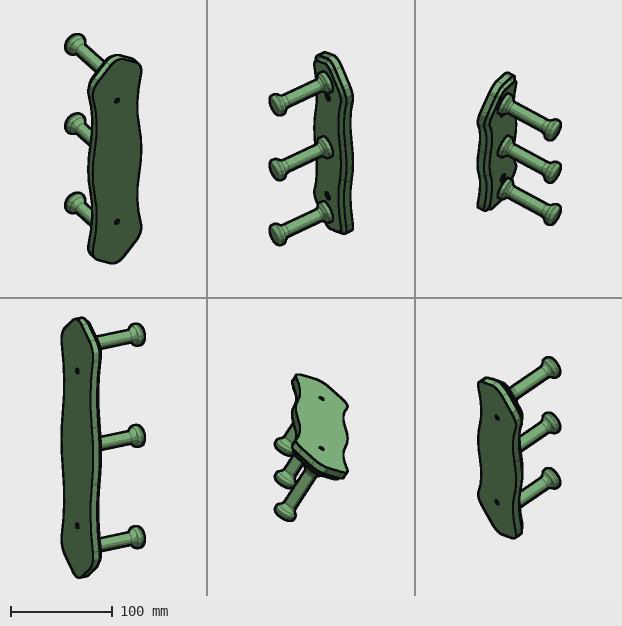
import cadquery as cq
import math


overall_depth = 74.0
board_length = 270.0

slab_thickness = 7.5
panel_height = 4.0
panel_inset = 4.0
cove_radius = 3.0
board_thickness = slab_thickness + panel_height
half_width = 30.0
waist_half_width = 25.0
side_radius = 180.0
waist_z = math.sqrt((2 * side_radius) ** 2 - (2 * side_radius - half_width + waist_half_width) ** 2)
shoulder_radius = 20.0
tip_radius = 12.5

screw_spacing = 162.0
screw_diameter = 4.5
screw_head_diameter = 8.0
countersink_angle = 90.0

peg_pitch = 106.0
peg_length = overall_depth - board_thickness
shaft_radius = 6.5
flange_radius = 11.0
knob_edge_radius = 4.0
knob_rim_start = 5.0
knob_rim_width = 1.5
knob_neck_radius = 7.0
base_height = 4.3
base_cone_angle = math.radians(50)
base_edge_radius = 1.0
base_blend_radius = 3.5


def point_on_circle(centre, radius, angle):
    """Point at an angle measured from the first axis towards the second."""
    return (centre[0] + radius * math.cos(angle), centre[1] + radius * math.sin(angle))


def quarter_edge():
    """Edge of the board from the middle of the +Y side up to the tip, at its back."""
    bulge_centre = (half_width - side_radius, 0)
    waist_centre = (waist_half_width + side_radius, waist_z)
    shoulder_y = half_width - shoulder_radius
    waist_to_shoulder = side_radius + shoulder_radius
    shoulder_rise = math.sqrt(waist_to_shoulder**2 - (waist_centre[0] - shoulder_y) ** 2)
    shoulder_centre = (shoulder_y, waist_z + shoulder_rise)
    tip_centre = (0, board_length / 2 - tip_radius)

    bulge_angle = math.asin(waist_z / (2 * side_radius))
    shoulder_angle = -math.asin(shoulder_rise / waist_to_shoulder)

    dy = shoulder_centre[0] - tip_centre[0]
    dz = shoulder_centre[1] - tip_centre[1]
    radius_step = tip_radius - shoulder_radius
    edge_angle = math.atan2(dz, dy) + math.acos(radius_step / math.hypot(dy, dz))

    bulge_middle = point_on_circle(bulge_centre, side_radius, bulge_angle / 2)
    bulge_end = point_on_circle(bulge_centre, side_radius, bulge_angle)
    waist_middle = (waist_half_width, waist_z)
    waist_end = point_on_circle(shoulder_centre, shoulder_radius, shoulder_angle)
    shoulder_middle = (half_width, shoulder_centre[1])
    shoulder_end = point_on_circle(shoulder_centre, shoulder_radius, edge_angle)
    tip_start = point_on_circle(tip_centre, tip_radius, edge_angle)
    tip_middle = point_on_circle(tip_centre, tip_radius, (edge_angle + math.pi / 2) / 2)

    return (
        cq.Workplane("YZ")
        .moveTo(half_width, 0)
        .threePointArc(bulge_middle, bulge_end)
        .threePointArc(waist_middle, waist_end)
        .threePointArc(shoulder_middle, shoulder_end)
        .lineTo(*tip_start)
        .threePointArc(tip_middle, (0, board_length / 2))
    )


def make_board():
    quarter = quarter_edge().lineTo(0, 0).close().extrude(-slab_thickness)
    half = quarter.union(quarter.mirror("XZ"))
    slab = half.union(half.mirror("XY")).clean()

    panel = slab.faces("<X").wires().toPending().offset2D(-panel_inset).extrude(-panel_height)
    board = slab.union(panel)
    shoulder = board.faces("|X").faces("<X[1]").val()
    board = board.newObject(shoulder.innerWires()[0].Edges()).fillet(cove_radius)

    return (
        board.faces("<X")
        .workplane(origin=(-board_thickness, 0, 0))
        .pushPoints([(0, -screw_spacing / 2), (0, screw_spacing / 2)])
        .cskHole(screw_diameter, screw_head_diameter, countersink_angle)
    )


def make_peg(z):
    """Turned peg whose base stands on the front of the board at height z."""
    rounding_centre_radius = flange_radius - knob_edge_radius
    dome_radius = (knob_rim_start**2 + rounding_centre_radius**2 - knob_edge_radius**2) / (
        2 * (knob_rim_start - knob_edge_radius)
    )
    dome_angle = math.atan2(rounding_centre_radius, knob_rim_start - dome_radius)
    dome_centre = (dome_radius, 0)
    front_centre = (knob_rim_start, rounding_centre_radius)
    dome_middle = point_on_circle(dome_centre, dome_radius, (math.pi + dome_angle) / 2)
    dome_end = point_on_circle(dome_centre, dome_radius, dome_angle)
    front_middle = point_on_circle(front_centre, knob_edge_radius, (dome_angle + math.pi / 2) / 2)

    rim_end = knob_rim_start + knob_rim_width
    s_curve_radius = knob_edge_radius + knob_neck_radius
    s_curve_angle = math.acos(1 - (flange_radius - shaft_radius) / s_curve_radius)
    shaft_start = rim_end + s_curve_radius * math.sin(s_curve_angle)
    back_centre = (rim_end, rounding_centre_radius)
    neck_centre = (shaft_start, shaft_radius + knob_neck_radius)
    back_middle = point_on_circle(back_centre, knob_edge_radius, math.pi / 2 - s_curve_angle / 2)
    back_end = point_on_circle(back_centre, knob_edge_radius, math.pi / 2 - s_curve_angle)
    neck_middle = point_on_circle(neck_centre, knob_neck_radius, -math.pi / 2 - s_curve_angle / 2)

    cylinder_start = peg_length - base_height
    edge_centre = (cylinder_start, flange_radius - base_edge_radius)
    edge_middle = point_on_circle(edge_centre, base_edge_radius, (math.pi + base_cone_angle) / 2)
    cone_end = point_on_circle(edge_centre, base_edge_radius, math.pi / 2 + base_cone_angle)
    cone_start_radius = shaft_radius + base_blend_radius * (1 - math.cos(base_cone_angle))
    cone_start = cone_end[0] - (cone_end[1] - cone_start_radius) / math.tan(base_cone_angle)
    shaft_end = cone_start - base_blend_radius * math.sin(base_cone_angle)
    blend_centre = (shaft_end, shaft_radius + base_blend_radius)
    blend_middle = point_on_circle(
        blend_centre, base_blend_radius, -math.pi / 2 + base_cone_angle / 2
    )

    profile = (
        cq.Workplane("XY", origin=(-overall_depth, 0, z))
        .moveTo(0, 0)
        .threePointArc(dome_middle, dome_end)
        .threePointArc(front_middle, (knob_rim_start, flange_radius))
        .lineTo(rim_end, flange_radius)
        .threePointArc(back_middle, back_end)
        .threePointArc(neck_middle, (shaft_start, shaft_radius))
        .lineTo(shaft_end, shaft_radius)
        .threePointArc(blend_middle, (cone_start, cone_start_radius))
        .lineTo(*cone_end)
        .threePointArc(edge_middle, (cylinder_start, flange_radius))
        .lineTo(peg_length, flange_radius)
        .lineTo(peg_length, 0)
        .close()
    )
    return profile.revolve(360, (0, 0, 0), (1, 0, 0))


board = make_board()
pegs = [make_peg(z) for z in (-peg_pitch, 0, peg_pitch)]

result = cq.Compound.makeCompound([board.val(), *[peg.val() for peg in pegs]])